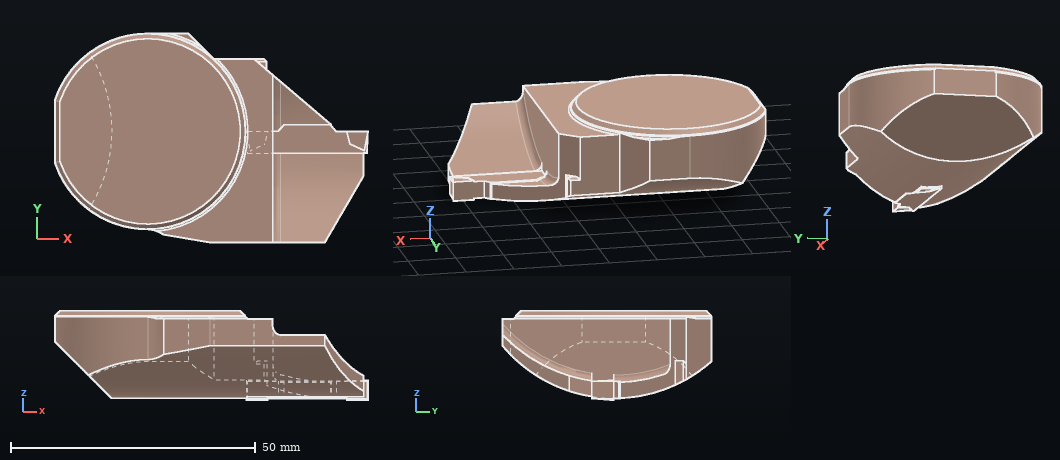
import cadquery as cq

top_height = 17.95
shelf_height = 16.3
tip_bottom = -0.4

head_radius = 20.05
rim_radius = 20.0
rim_bottom = 16.65
head_chamfer = 1.0
collar_bottom_radius = 20.5
flat_x = -19.0
flat_bottom = 11.6

front_y = -22.75
back_y = 14.9
holder_end_x = 44.2
back_corner_x = 8.35
front_bevel_x = 36.3
front_bevel_y = -9.1
diagonal_start_x = 21.7
diagonal_end = (37.6, 1.35)
shoulder_front = (12.75, front_y)
shoulder_back = (3.3, -21.15)
shoulder_blend_middle = (1.7, -20.4)

axis_y = 0.2
underside_radius = 29.8
trough_radius = 31.85
trough_bottom = 3.3
trough_start_x = 25.6
trough_fillet = 1.55

stub_end_x = 24.35
stub_depth = 3.85
stub_top = 7.7
stub_chamfer = 0.6

insert_end_x = 45.1
insert_length = 24.95
insert_back_y = -4.4
insert_bottom = -0.05
insert_top = 3.5
insert_raise = 1.35
raise_length = 9.5
raise_bevel = 1.2
insert_end_taper = 0.2
tip_top = 3.7
tip_length = 4.35
tip_side_length = 3.7
tip_inner_depth = 2.55
tip_depth = 3.9
tip_end_setback = 0.8

insert_center_x = insert_end_x - insert_length / 2
span = 128.2


def head():
    """Disc with one chamfered flat and a slightly stepped rim, and the full flared collar."""
    flat_side = (
        cq.Workplane("XY")
        .box(span, span, span)
        .edges("<X and >Z")
        .chamfer(head_chamfer)
        .translate((flat_x + span / 2, 0, top_height - span / 2))
    )
    base = cq.Workplane("XY").circle(head_radius).extrude(rim_bottom)
    rim = cq.Workplane("XY").circle(rim_radius).extrude(top_height).faces(">Z").chamfer(head_chamfer)
    disc = base.union(rim).intersect(flat_side)
    collar = (
        cq.Workplane("XZ")
        .moveTo(0, shelf_height)
        .lineTo(collar_bottom_radius, shelf_height)
        .lineTo(head_radius, rim_bottom)
        .lineTo(0, rim_bottom)
        .close()
        .revolve(360, (0, 0, 0), (0, 1, 0))
    )
    return disc, collar


def shelf():
    """Flat-topped body beside the disc, from the underside to the shelf height."""
    back_step_x = back_corner_x + head_radius - back_y
    return (
        cq.Workplane("XY")
        .moveTo(0, head_radius)
        .lineTo(back_corner_x, head_radius)
        .lineTo(back_step_x, back_y)
        .lineTo(diagonal_start_x, back_y)
        .lineTo(*diagonal_end)
        .lineTo(diagonal_end[0], insert_back_y)
        .lineTo(holder_end_x, insert_back_y)
        .lineTo(holder_end_x, front_bevel_y)
        .lineTo(front_bevel_x, front_y)
        .lineTo(*shoulder_front)
        .lineTo(*shoulder_back)
        .threePointArc(shoulder_blend_middle, (0, -head_radius))
        .close()
        .extrude(shelf_height)
    )


def stub():
    """Low block that fills the corner behind the diagonal wall."""
    return (
        cq.Workplane("XY")
        .box(stub_end_x - back_corner_x, stub_depth, stub_top, centered=False)
        .edges(">X and >Y")
        .chamfer(stub_chamfer)
        .edges(">Y and >Z")
        .chamfer(stub_chamfer)
        .translate((back_corner_x, back_y - stub_depth, 0))
    )


def trough_cutter():
    """Round trough along X, with a rounded edge that fillets its end wall."""
    return (
        cq.Workplane("YZ", origin=(trough_start_x, axis_y, trough_bottom + trough_radius))
        .circle(trough_radius)
        .extrude(span)
        .faces("<X")
        .edges()
        .fillet(trough_fillet)
    )


def seat_clearance():
    """Opening above the insert, from the trough end wall to the holder end."""
    length = insert_end_x - trough_start_x
    return (
        cq.Workplane("XY")
        .box(length, -insert_back_y, shelf_height, centered=False)
        .translate((trough_start_x, insert_back_y, insert_top))
    )


def underside_envelope():
    """Space above the round underside and the 45 degree cut under the flat."""
    rounded = (
        cq.Workplane("YZ", origin=(-span / 2, axis_y, underside_radius))
        .circle(underside_radius)
        .extrude(span)
    )
    wedge = (
        cq.Workplane("XZ", origin=(0, span / 2, 0))
        .moveTo(flat_x, flat_bottom)
        .lineTo(flat_x + flat_bottom, 0)
        .lineTo(flat_x, 0)
        .close()
        .extrude(span)
    )
    return rounded.cut(wedge)


def insert_tip():
    """Cutting tip at the +X end, widest at its edge and tapering back to the shank."""
    outline = (
        cq.Workplane("XY", origin=(0, 0, tip_bottom))
        .moveTo(insert_end_x - tip_length, 0)
        .lineTo(insert_end_x, 0)
        .lineTo(insert_end_x - tip_end_setback, -tip_depth)
        .lineTo(insert_end_x - tip_side_length, -tip_inner_depth)
        .close()
        .extrude(tip_top - tip_bottom)
    )
    relief = (
        cq.Workplane("YZ", origin=(insert_end_x - tip_length, 0, 0))
        .moveTo(0, tip_bottom)
        .lineTo(0, tip_top)
        .lineTo(-tip_depth, insert_top)
        .lineTo(-tip_depth, insert_bottom)
        .close()
        .extrude(tip_length)
    )
    return outline.intersect(relief)


def cutting_insert():
    """Bar with a raised middle and a cutting tip at each end."""
    half = insert_length / 2
    raise_half = raise_length / 2
    back_half = half - insert_end_taper
    shank = (
        cq.Workplane("XY", origin=(insert_center_x, 0, insert_bottom))
        .polyline([
            (-back_half, insert_back_y),
            (back_half, insert_back_y),
            (half, 0),
            (raise_half + raise_bevel, 0),
            (raise_half, insert_raise),
            (-raise_half, insert_raise),
            (-raise_half - raise_bevel, 0),
            (-half, 0),
        ])
        .close()
        .extrude(insert_top - insert_bottom)
    )
    tip = insert_tip()
    far_tip = tip.mirror("YZ", (insert_center_x, 0, 0))
    return shank.union(tip).union(far_tip)


def tool_holder(insert):
    """Head and shelf with the rounded underside, the trough and the insert pocket."""
    disc, collar = head()
    collar_limit = shelf().translate((0, 0, top_height - shelf_height))
    body = shelf().cut(trough_cutter()).cut(seat_clearance())
    body = body.union(disc).union(collar.intersect(collar_limit))
    return body.union(stub()).intersect(underside_envelope()).cut(insert)


insert = cutting_insert()
holder = tool_holder(insert)
result = cq.Compound.makeCompound([holder.solids().val(), insert.solids().val()])